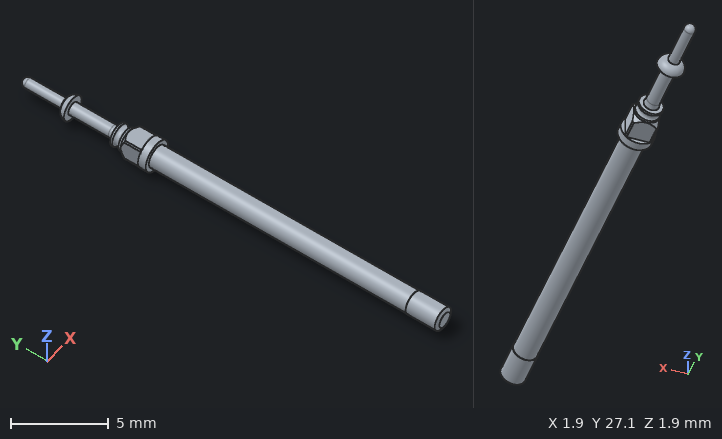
import cadquery as cq
import math


BARREL_DIA = 1.36
REAR_SECTION_DIA = 1.4
COLLAR_DIA = 1.9
SHOULDER_DIA = 1.87
NECK_DIA = 0.77
DOME_DIA = 1.52
TIP_DIA = 0.63

BARREL_LENGTH = 18.5
REAR_SECTION_LENGTH = 2.0
COLLAR_LENGTH = 0.5
SHOULDER_FRONT = 1.82
RING_LENGTH = 0.14
GROOVE_LENGTH = 0.4
DOME_REAR = 5.4
TIP_END = 8.6

SHOULDER_WIDTH = 1.4

REAR_CHAMFER_DEPTH = 0.24
REAR_CHAMFER_LENGTH = 0.12
GROOVE_DEPTH = 0.1
FLARE_LENGTH = 0.35
FLARE_ROUND = 1.5
DOME_ROUND = 0.5

barrel_r = BARREL_DIA / 2
rear_r = REAR_SECTION_DIA / 2
collar_r = COLLAR_DIA / 2
shoulder_r = SHOULDER_DIA / 2
neck_r = NECK_DIA / 2
dome_r = DOME_DIA / 2
tip_r = TIP_DIA / 2

rear_end = -BARREL_LENGTH
rear_section_front = rear_end + REAR_SECTION_LENGTH
groove_rear = SHOULDER_FRONT + RING_LENGTH
groove_front = groove_rear + GROOVE_LENGTH
ring_front = groove_front + RING_LENGTH
tip_round_start = TIP_END - tip_r

flare_front = ring_front + FLARE_LENGTH
flare_sweep = math.degrees(math.asin(FLARE_LENGTH / FLARE_ROUND))

shoulder_cone_rear = SHOULDER_FRONT - (shoulder_r - barrel_r)

dome_arc_centre_r = dome_r - DOME_ROUND
dome_front = DOME_REAR + math.sqrt(DOME_ROUND**2 - (tip_r - dome_arc_centre_r) ** 2)


def arc_point(centre_r, centre_y, radius, degrees):
    """Point on a circle in the (radius, Y) half-plane."""
    angle = math.radians(degrees)
    return (centre_r + radius * math.cos(angle), centre_y + radius * math.sin(angle))


def revolve_about_y(profile):
    """Close an open (radius, Y) profile and turn it around the Y axis."""
    return profile.close().revolve(360, (0, 0, 0), (0, 1, 0))


def make_barrel():
    """Long barrel with a slightly thicker, chamfered rear section, and the collar."""
    profile = (
        cq.Workplane("XY")
        .moveTo(0, rear_end)
        .lineTo(rear_r - REAR_CHAMFER_DEPTH, rear_end)
        .lineTo(rear_r, rear_end + REAR_CHAMFER_LENGTH)
        .lineTo(rear_r, rear_section_front)
        .lineTo(barrel_r, rear_section_front)
        .lineTo(barrel_r, 0)
        .lineTo(collar_r, 0)
        .lineTo(collar_r, COLLAR_LENGTH)
        .lineTo(0, COLLAR_LENGTH)
    )
    return revolve_about_y(profile)


def make_shoulder():
    """Square shoulder with rounded corners and a coned front."""
    profile = (
        cq.Workplane("XY")
        .moveTo(0, COLLAR_LENGTH)
        .lineTo(shoulder_r, COLLAR_LENGTH)
        .lineTo(shoulder_r, shoulder_cone_rear)
        .lineTo(barrel_r, SHOULDER_FRONT)
        .lineTo(0, SHOULDER_FRONT)
    )
    length = SHOULDER_FRONT - COLLAR_LENGTH
    square = (
        cq.Workplane("XY")
        .box(SHOULDER_WIDTH, length, SHOULDER_WIDTH)
        .translate((0, COLLAR_LENGTH + length / 2, 0))
    )
    return revolve_about_y(profile).intersect(square)


def make_grooved_rings():
    """Two rings with a shallow round groove between them, and the flared neck root."""
    flare_centre_r = neck_r + FLARE_ROUND
    flare_rear = arc_point(flare_centre_r, flare_front, FLARE_ROUND, 180 + flare_sweep)
    flare_mid = arc_point(flare_centre_r, flare_front, FLARE_ROUND, 180 + flare_sweep / 2)
    groove_mid = (barrel_r - GROOVE_DEPTH, (groove_rear + groove_front) / 2)
    profile = (
        cq.Workplane("XY")
        .moveTo(0, SHOULDER_FRONT)
        .lineTo(barrel_r, SHOULDER_FRONT)
        .lineTo(barrel_r, groove_rear)
        .threePointArc(groove_mid, (barrel_r, groove_front))
        .lineTo(barrel_r, ring_front)
        .lineTo(*flare_rear)
        .threePointArc(flare_mid, (neck_r, flare_front))
        .lineTo(0, flare_front)
    )
    return revolve_about_y(profile)


def make_plunger():
    """Neck, domed stop and thin tip with a hemispherical end."""
    dome_mid = arc_point(dome_arc_centre_r, DOME_REAR, DOME_ROUND, 45)
    tip_mid = arc_point(0, tip_round_start, tip_r, 45)
    profile = (
        cq.Workplane("XY")
        .moveTo(0, flare_front)
        .lineTo(neck_r, flare_front)
        .lineTo(neck_r, DOME_REAR)
        .lineTo(dome_r, DOME_REAR)
        .threePointArc(dome_mid, (tip_r, dome_front))
        .lineTo(tip_r, tip_round_start)
        .threePointArc(tip_mid, (0, TIP_END))
    )
    return revolve_about_y(profile)


result = (
    make_barrel()
    .union(make_shoulder())
    .union(make_grooved_rings())
    .union(make_plunger())
)